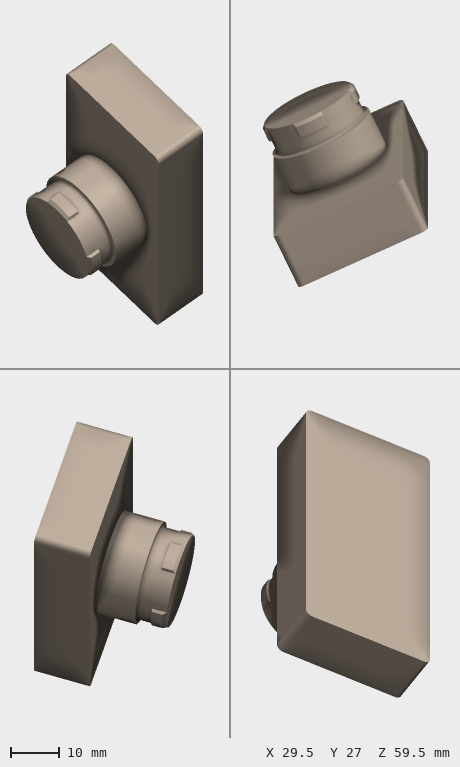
import cadquery as cq

block_width = 29.5
block_depth = 12.0
block_height = 59.5
corner_radius = 1.4

button_length = 15.0
collar_diameter = 22.0
collar_length = 8.5
neck_diameter = 19.8
neck_root_fillet = 0.55

lug_count = 4
lug_height = 0.55
lug_length = 3.1
lug_chamfer_length = 0.7
lug_base_width = 6.55
lug_top_width = 6.0

neck_radius = neck_diameter / 2
lug_radius = neck_radius + lug_height
lug_start = button_length - lug_length
lug_chamfer_start = button_length - lug_chamfer_length


def make_block():
    """Block with its front face at Y = 0 and rounded edges along Y."""
    block = cq.Workplane("XY").box(block_width, block_depth, block_height)
    return block.edges("|Y").fillet(corner_radius).translate((0, block_depth / 2, 0))


def make_button():
    """Collar and neck turned about Y, with a concave fillet at the neck root."""
    profile = (
        cq.Workplane("XY")
        .lineTo(collar_diameter / 2, 0)
        .lineTo(collar_diameter / 2, -collar_length)
        .lineTo(neck_radius + neck_root_fillet, -collar_length)
        .radiusArc((neck_radius, -collar_length - neck_root_fillet), -neck_root_fillet)
        .lineTo(neck_radius, -button_length)
        .lineTo(0, -button_length)
        .close()
    )
    return profile.revolve(360, (0, 0, 0), (0, 1, 0))


def make_lug():
    """Lug on the +Z side: a chamfered ring trimmed to a tapering width."""
    ring = (
        cq.Workplane("XY")
        .moveTo(0, -lug_start)
        .lineTo(lug_radius, -lug_start)
        .lineTo(lug_radius, -lug_chamfer_start)
        .lineTo(neck_radius, -button_length)
        .lineTo(0, -button_length)
        .close()
        .revolve(360, (0, 0, 0), (0, 1, 0))
    )
    base_half = lug_base_width / 2
    top_half = lug_top_width / 2
    base_z = (neck_radius**2 - base_half**2) ** 0.5
    crest_z = (lug_radius**2 - top_half**2) ** 0.5
    side_slope = (base_half - top_half) / (crest_z - base_z)
    tip_half = base_half - side_slope * (lug_radius - base_z)
    trim = (
        cq.Workplane("XZ")
        .polyline([
            (0, 0),
            (base_half, base_z),
            (tip_half, lug_radius),
            (-tip_half, lug_radius),
            (-base_half, base_z),
        ])
        .close()
        .extrude(button_length)
    )
    return ring.intersect(trim)


result = make_block().union(make_button())
lug = make_lug()
for index in range(lug_count):
    angle = index * 360 / lug_count
    result = result.union(lug.rotate((0, 0, 0), (0, 1, 0), angle))